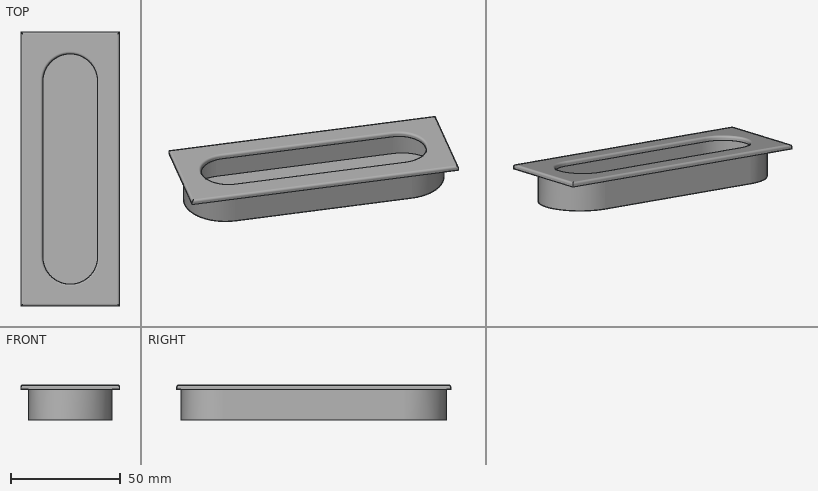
import cadquery as cq

plate_width = 45.0
plate_length = 125.0
plate_thickness = 2.0
plate_edge_radius = 1.0

total_height = 16.0
cup_width = 38.2
cup_length = 121.2
wall_thickness = 2.0
floor_thickness = 2.0

mouth_width = 25.0
mouth_length = 105.0
mouth_edge_radius = 1.0

cup_height = total_height - plate_thickness
cavity_width = cup_width - 2 * wall_thickness
cavity_length = cup_length - 2 * wall_thickness
cavity_height = cup_height - floor_thickness


def slot_prism(width, length, bottom, height):
    """Vertical prism with a round-ended outline running along Y."""
    return cq.Workplane("XY").workplane(offset=bottom).slot2D(length, width, 90).extrude(height)


def cover_plate():
    """Plate with a round-ended opening, rounded along its upper outer edges and around the opening."""
    plate = (
        cq.Workplane("XY")
        .workplane(offset=cup_height)
        .rect(plate_width, plate_length)
        .extrude(plate_thickness)
        .faces(">Z")
        .edges()
        .fillet(plate_edge_radius)
    )
    mouth = slot_prism(mouth_width, mouth_length, cup_height, plate_thickness)
    mouth_rim = cq.selectors.LengthNthSelector(0)
    return plate.cut(mouth).faces(">Z").wires(mouth_rim).edges().fillet(mouth_edge_radius)


def cup():
    """Round-ended cup with a flat floor and a wall of even thickness."""
    outside = slot_prism(cup_width, cup_length, 0, cup_height)
    cavity = slot_prism(cavity_width, cavity_length, floor_thickness, cavity_height)
    return outside.cut(cavity)


result = cover_plate().union(cup())